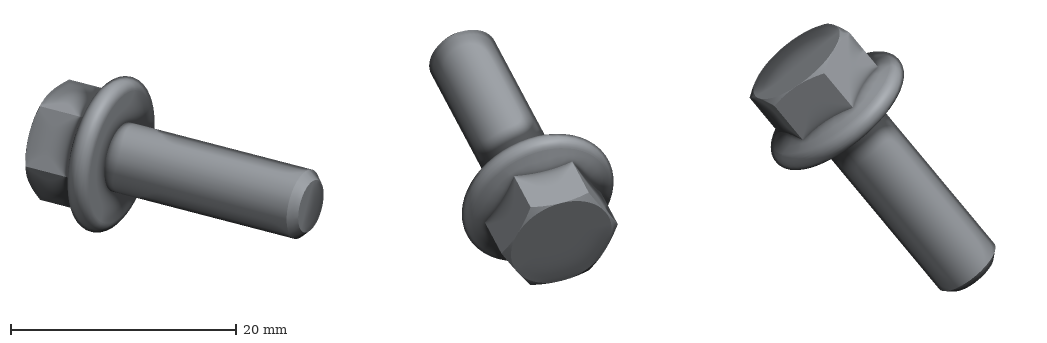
import math

import cadquery as cq

INCH = 25.4

shank_diameter = 0.25 * INCH
shank_length = 0.75 * INCH
tip_chamfer = 0.03 * INCH

hex_sides = 6
hex_across_flats = 0.375 * INCH
head_height = 0.28 * INCH
hex_chamfer_angle = math.radians(30)

flange_diameter = 0.56 * INCH
flange_rim_radius = 0.04 * INCH
flange_slope_angle = math.radians(25)

hex_flat_radius = hex_across_flats / 2
hex_corner_radius = hex_flat_radius / math.cos(math.pi / hex_sides)


def revolve_about_x(profile):
    """Turn a closed XY profile into a solid of revolution about the X axis."""
    return profile.close().revolve(360, (0, 0, 0), (1, 0, 0))


def make_shank():
    """Plain cylindrical shank with a 45 degree chamfer at the tip."""
    shank = cq.Workplane("YZ").circle(shank_diameter / 2).extrude(shank_length)
    return shank.faces(">X").chamfer(tip_chamfer)


def make_flange():
    """Round-rimmed flange whose conical top runs tangent into the rim."""
    rim_center_x = -flange_rim_radius
    rim_center_r = flange_diameter / 2 - flange_rim_radius
    tangent_x = rim_center_x - flange_rim_radius * math.cos(flange_slope_angle)
    tangent_r = rim_center_r + flange_rim_radius * math.sin(flange_slope_angle)
    cone_apex_x = tangent_x - tangent_r * math.tan(flange_slope_angle)
    cone_top_x = cone_apex_x + hex_flat_radius * math.tan(flange_slope_angle)
    profile = (
        cq.Workplane("XY")
        .moveTo(0, 0)
        .lineTo(0, rim_center_r)
        .threePointArc((rim_center_x, flange_diameter / 2), (tangent_x, tangent_r))
        .lineTo(cone_top_x, hex_flat_radius)
        .lineTo(cone_top_x, 0)
    )
    return revolve_about_x(profile)


def make_hex():
    """Hex prism, corners on +/-Y, with its end corners turned to a cone."""
    prism = cq.Workplane("YZ").polygon(hex_sides, 2 * hex_corner_radius).extrude(-head_height)
    chamfer_depth = (hex_corner_radius - hex_flat_radius) * math.tan(hex_chamfer_angle)
    envelope_profile = (
        cq.Workplane("XY")
        .moveTo(-head_height, 0)
        .lineTo(-head_height, hex_flat_radius)
        .lineTo(chamfer_depth - head_height, hex_corner_radius)
        .lineTo(0, hex_corner_radius)
        .lineTo(0, 0)
    )
    return prism.intersect(revolve_about_x(envelope_profile))


result = make_flange().union(make_hex()).union(make_shank())